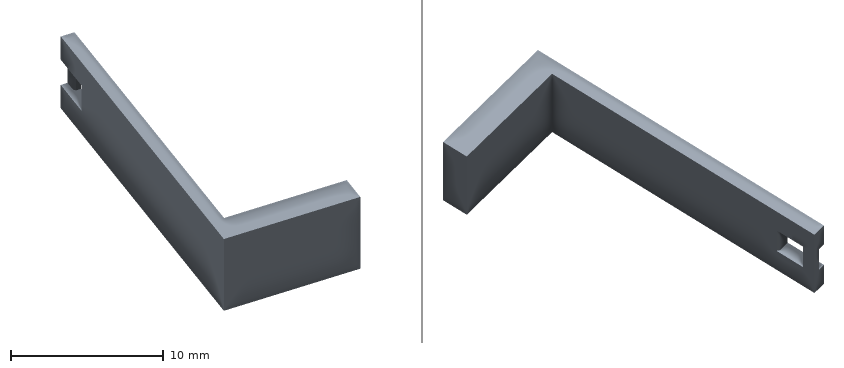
import cadquery as cq

length = 24.0
depth = 10.0
height = 6.0

arm_thickness = 1.0
foot_thickness = 2.0

slot_height = 2.1
slot_length = 3.05
bridge_length = 0.95
edge_chamfer = 0.15
notch_depth = arm_thickness / 2


def corner_box(x_size, y_size, z_size):
    """Box with one corner at the origin, extending along +X, +Y and +Z."""
    return cq.Workplane("XY").box(x_size, y_size, z_size, centered=False)


arm = corner_box(length, arm_thickness, height)
foot = corner_box(foot_thickness, depth, height).translate((length - foot_thickness, 0, 0))
bracket = arm.union(foot)

slot_bottom = (height - slot_height) / 2
notch = corner_box(slot_length, notch_depth, slot_height).translate((0, 0, slot_bottom))

window_outline = [
    (bridge_length - edge_chamfer, notch_depth),
    (slot_length, notch_depth),
    (slot_length, arm_thickness - edge_chamfer),
    (slot_length + edge_chamfer, arm_thickness),
    (bridge_length, arm_thickness),
    (bridge_length, notch_depth + edge_chamfer),
]
window = (
    cq.Workplane("XY", origin=(0, 0, slot_bottom))
    .polyline(window_outline)
    .close()
    .extrude(slot_height)
)

result = bracket.cut(notch).cut(window)